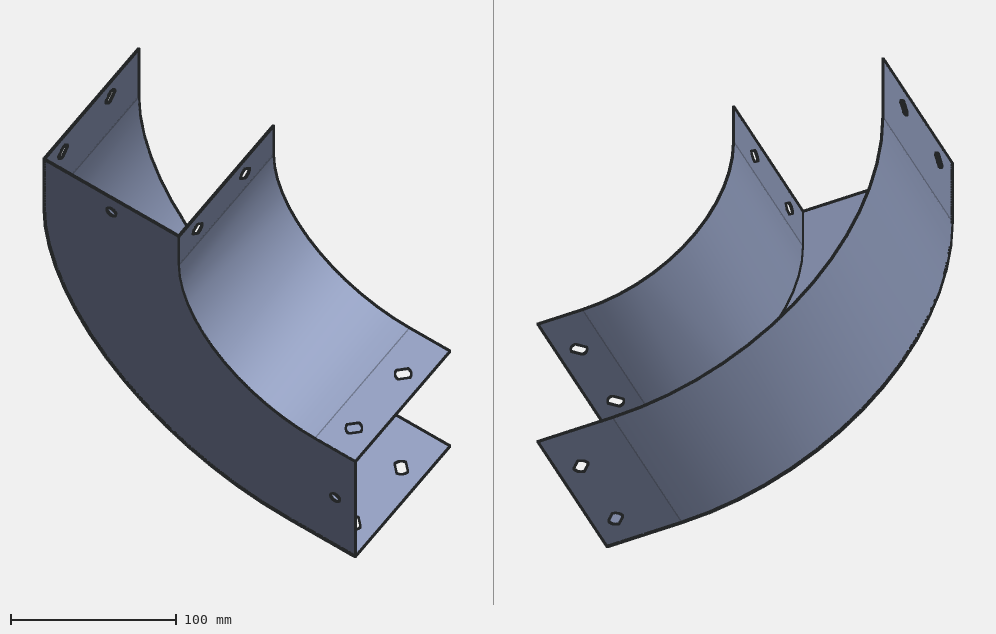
import cadquery as cq

span = 230.0
channel = 100.0
sheet = 0.7
inner_straight = 30.0
outer_straight = 50.0

end_margin = 15.0
round_hole = 7.0
slot_width = 7.0
slot_length = 10.0
slot_depth_first = 20.0
slot_pitch = 50.0
slot_tilt = 45.0
inner_slot_shift = 1.4
slot_levels = (slot_depth_first, slot_depth_first + slot_pitch)


def elbow(outer_offset, inner_offset, y_start, y_end):
    """Solid elbow whose outer and inner curved sides are moved inwards by the offsets."""
    low = outer_offset
    high = channel - inner_offset
    outer_radius = span - outer_straight - outer_offset
    inner_radius = span - inner_straight - channel + inner_offset
    outer_centre = span - outer_straight
    inner_centre = span - inner_straight
    diagonal = 0.5 ** 0.5
    outer_mid = outer_centre - outer_radius * diagonal
    inner_mid = inner_centre - inner_radius * diagonal
    return (
        cq.Workplane("XZ", origin=(0, y_start, 0))
        .moveTo(low, span)
        .lineTo(low, outer_centre)
        .threePointArc((outer_mid, outer_mid), (outer_centre, low))
        .lineTo(span, low)
        .lineTo(span, high)
        .lineTo(inner_centre, high)
        .threePointArc((inner_mid, inner_mid), (high, inner_centre))
        .lineTo(high, span)
        .close()
        .extrude(y_start - y_end)
    )


def slot_cutter(plane, place, tilt):
    """Cutter for a tilted slot: a circle trimmed by two parallel flats."""
    height = 4 * sheet
    disc = cq.Workplane("XY").circle(slot_length / 2).extrude(height / 2, both=True)
    band = cq.Workplane("XY").box(2 * slot_length, slot_width, height)
    slot = disc.intersect(band).rotate((0, 0, 0), (0, 0, 1), tilt)
    return cq.Workplane(slot.val().moved(cq.Location(cq.Plane.named(plane, place))))


def cut_slots(body, wall_position, tilt, rear_shift):
    """Cut two slots through the wall at each open end, shifting only the rear +X one."""
    for level, shift in zip(slot_levels, (0, rear_shift)):
        reach = span - end_margin
        body = body.cut(slot_cutter("XY", (reach + shift, level, wall_position), tilt))
        body = body.cut(slot_cutter("YZ", (wall_position, level, reach), -tilt))
    return body


result = elbow(0, 0, 0, channel).cut(elbow(sheet, sheet, sheet, channel))

result = cut_slots(result, sheet / 2, -slot_tilt, 0)
result = cut_slots(result, channel - sheet / 2, slot_tilt, inner_slot_shift)

round_hole_places = [(channel / 2, span - end_margin), (span - end_margin, channel / 2)]
round_holes = (
    cq.Workplane("XZ")
    .pushPoints(round_hole_places)
    .circle(round_hole / 2)
    .extrude(2 * sheet, both=True)
)
result = result.cut(round_holes)